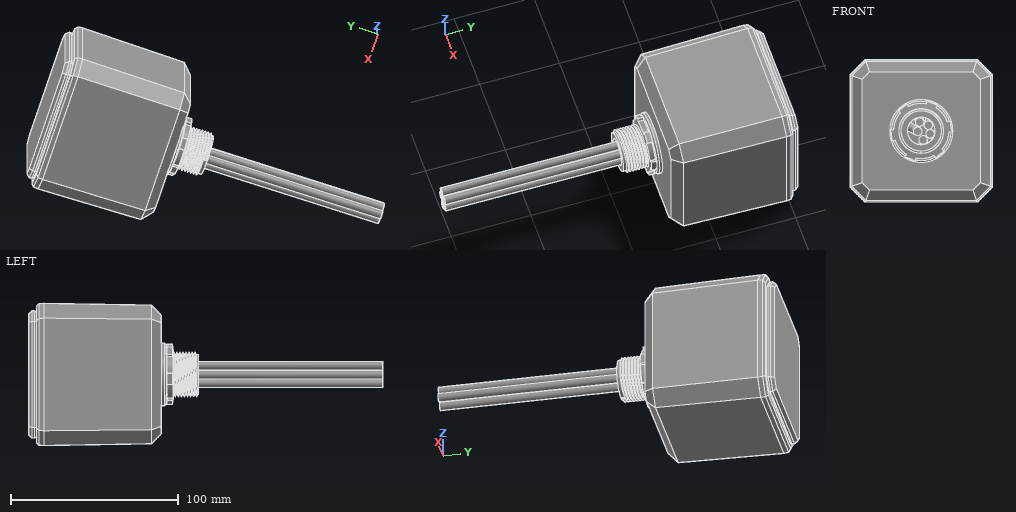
import cadquery as cq
import math


TOTAL_LENGTH = 211.5
BODY_DEPTH = 79.3

FRONT_HALF = 35.3
FRONT_CUT = 4.5
FRONT_BEVEL_DEPTH = 6.0
SHOULDER_HALF = 41.5
SHOULDER_CUT = 8.5
WIDEST_HALF = 42.5
WIDEST_CUT = 8.9

LID_DEPTH = 9.0
LID_JOINT = LID_DEPTH - BODY_DEPTH
PLATE_THICKNESS = 4.7
PLATE_BEVEL_DEPTH = 2.1
UNDERCUT_DEPTH = 1.0
RIM_BEVEL_DEPTH = 1.5
RIM_HALF = 42.3
RIM_CUT = 8.9
RIM_BACK_HALF = 40.8
RIM_BACK_CUT = 8.7
PLATE_HALF = 38.0
PLATE_CUT = 6.5
PLATE_BACK_HALF = 36.2
PLATE_BACK_CUT = 4.9
PLATE_FOOT_HALF = 37.2
PLATE_FOOT_CUT = 5.7

COLLAR_RADIUS = 18.8
COLLAR_TIP_RADIUS = 17.8
COLLAR_STRAIGHT = 1.7
COLLAR_HEIGHT = 3.0
NIPPLE_LENGTH = 22.2
BORE_RADIUS = 8.2
ROOT_RADIUS = 12.0
CREST_RADIUS = 13.3
THREAD_PITCH = 1.82
THREAD_BASE = 1.5
THREAD_START = 5.0
THREAD_TURNS = 8.75
THREAD_EMBED = 0.2

LUG_COUNT = 6
LUG_CORNER_RADIUS = 18.5
NOTCH_RADIUS = 16.5
LUG_ANGLE = 21.4
FIRST_LUG_ANGLE = 8.4
NUT_EDGE_BACK = 3.2
NUT_EDGE_FRONT = 6.5
NUT_DISH = 0.8

WIRE_RADIUS = 2.5
WIRE_BEND_RADIUS = 3.2
WIRES = [
    ((-0.95, 5.3), 100),
    ((4.2, 3.4), 75),
    ((-2.1, -0.2), 152),
    ((5.3, -1.7), -20),
    ((1.0, -5.3), -90),
]
WIRE_LENGTH = TOTAL_LENGTH - BODY_DEPTH


def polar(radius, degrees):
    """Point at a radius and an angle from the X axis, in the XY plane."""
    angle = math.radians(degrees)
    return (radius * math.cos(angle), radius * math.sin(angle))


def eight_sided_outline(half, cut, height):
    """Square outline with cut corners, at one height."""
    square = cq.Workplane("XY").workplane(offset=height).rect(2 * half, 2 * half).extrude(2.1)
    return square.edges("|Z").chamfer(cut).faces("<Z").wires().val()


def prismoid(lower, upper):
    """Flat-sided solid between two eight-sided sections, each (half width, corner cut, height)."""
    sections = [eight_sided_outline(*lower), eight_sided_outline(*upper)]
    return cq.Workplane(obj=cq.Solid.makeLoft(sections, True))


def make_thread():
    """Right-handed helical ridge, rooted slightly inside the nipple."""
    helix = cq.Wire.makeHelix(THREAD_PITCH, THREAD_TURNS * THREAD_PITCH, ROOT_RADIUS)
    inner_radius = ROOT_RADIUS - THREAD_EMBED
    ridge = (
        cq.Workplane("XZ")
        .moveTo(inner_radius, -THREAD_BASE / 2)
        .lineTo(CREST_RADIUS, 0)
        .lineTo(inner_radius, THREAD_BASE / 2)
        .close()
        .sweep(cq.Workplane(obj=helix), isFrenet=True)
    )
    return ridge.translate((0, 0, THREAD_START))


def make_housing():
    """Tapered box with a bevelled front, a collar and a bored, threaded nipple."""
    shoulder = (SHOULDER_HALF, SHOULDER_CUT, -FRONT_BEVEL_DEPTH)
    bevel = prismoid(shoulder, (FRONT_HALF, FRONT_CUT, 0))
    box = prismoid((WIDEST_HALF, WIDEST_CUT, LID_JOINT), shoulder)
    stem = (
        cq.Workplane("XZ")
        .polyline([
            (0, 0),
            (COLLAR_RADIUS, 0),
            (COLLAR_RADIUS, COLLAR_STRAIGHT),
            (COLLAR_TIP_RADIUS, COLLAR_HEIGHT),
            (ROOT_RADIUS, COLLAR_HEIGHT),
            (ROOT_RADIUS, NIPPLE_LENGTH),
            (0, NIPPLE_LENGTH),
        ])
        .close()
        .revolve(360, (0, 0, 0), (0, 1, 0))
    )
    bore = cq.Workplane("XY").circle(BORE_RADIUS).extrude(NIPPLE_LENGTH)
    return box.union(bevel).union(stem).union(make_thread()).cut(bore)


def make_lid():
    """Rim that closes the back of the housing, with a raised, undercut plate behind it."""
    plate_foot = PLATE_THICKNESS - BODY_DEPTH
    rim_edge = (RIM_HALF, RIM_CUT, plate_foot + RIM_BEVEL_DEPTH)
    plate_lower_edge = (PLATE_HALF, PLATE_CUT, plate_foot - UNDERCUT_DEPTH)
    plate_upper_edge = (PLATE_HALF, PLATE_CUT, PLATE_BEVEL_DEPTH - BODY_DEPTH)
    rim = prismoid(rim_edge, (WIDEST_HALF, WIDEST_CUT, LID_JOINT))
    rim_bevel = prismoid((RIM_BACK_HALF, RIM_BACK_CUT, plate_foot), rim_edge)
    undercut = prismoid(plate_lower_edge, (PLATE_FOOT_HALF, PLATE_FOOT_CUT, plate_foot))
    plate = prismoid(plate_upper_edge, plate_lower_edge)
    plate_bevel = prismoid((PLATE_BACK_HALF, PLATE_BACK_CUT, -BODY_DEPTH), plate_upper_edge)
    return rim.union(rim_bevel).union(undercut).union(plate).union(plate_bevel)


def make_nut(housing):
    """Dished ring with flat-topped lugs, its thread matching the nipple."""
    lug_step = 360 / LUG_COUNT
    outline = cq.Workplane("XY").moveTo(*polar(LUG_CORNER_RADIUS, FIRST_LUG_ANGLE - LUG_ANGLE / 2))
    for lug in range(LUG_COUNT):
        lug_end = FIRST_LUG_ANGLE + lug * lug_step + LUG_ANGLE / 2
        notch_middle = FIRST_LUG_ANGLE + (lug + 0.5) * lug_step
        next_lug = lug_end + lug_step - LUG_ANGLE
        outline = (
            outline.lineTo(*polar(LUG_CORNER_RADIUS, lug_end))
            .lineTo(*polar(NOTCH_RADIUS, lug_end))
            .threePointArc(polar(NOTCH_RADIUS, notch_middle), polar(NOTCH_RADIUS, next_lug))
            .lineTo(*polar(LUG_CORNER_RADIUS, next_lug))
        )
    lugs = outline.close().extrude(NUT_EDGE_FRONT + NUT_DISH)
    dished_ring = (
        cq.Workplane("XZ")
        .polyline([
            (ROOT_RADIUS, NUT_EDGE_BACK + NUT_DISH),
            (LUG_CORNER_RADIUS, NUT_EDGE_BACK),
            (LUG_CORNER_RADIUS, NUT_EDGE_FRONT),
            (ROOT_RADIUS, NUT_EDGE_FRONT + NUT_DISH),
        ])
        .close()
        .revolve(360, (0, 0, 0), (0, 1, 0))
    )
    return dished_ring.intersect(lugs).cut(housing)


def make_wire(centre, bend_angle):
    """Straight wire whose inner end bends sideways and stops at the bore wall."""
    bend_top = WIRE_RADIUS + WIRE_BEND_RADIUS
    bend_middle = WIRE_BEND_RADIUS / math.sqrt(2)
    path = (
        cq.Workplane("XZ")
        .moveTo(0, WIRE_LENGTH)
        .lineTo(0, bend_top)
        .threePointArc(
            (WIRE_BEND_RADIUS - bend_middle, bend_top - bend_middle),
            (WIRE_BEND_RADIUS, WIRE_RADIUS),
        )
        .lineTo(2 * BORE_RADIUS, WIRE_RADIUS)
    )
    bent_wire = cq.Workplane("XY").workplane(offset=WIRE_LENGTH).circle(WIRE_RADIUS).sweep(path)
    placed_wire = bent_wire.rotate((0, 0, 0), (0, 0, 1), bend_angle).translate((*centre, 0))
    bore_space = cq.Workplane("XY").circle(BORE_RADIUS).extrude(WIRE_LENGTH)
    return placed_wire.intersect(bore_space)


def lay_down(body):
    """Turn the nipple axis from +Z to -Y."""
    return body.rotate((0, 0, 0), (1, 0, 0), 90).val()


housing = make_housing()
lid = make_lid()
nut = make_nut(housing)
wires = [make_wire(centre, bend_angle) for centre, bend_angle in WIRES]

result = cq.Compound.makeCompound([lay_down(body) for body in [housing, lid, nut, *wires]])